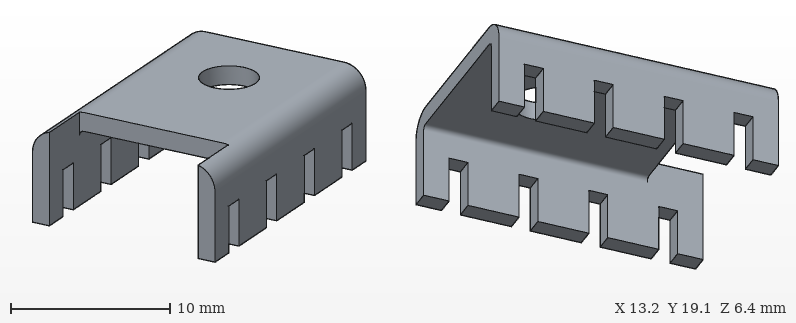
import cadquery as cq

width = 13.2
length = 19.1
height = 6.4

wall_thickness = 1.22
plate_thickness = 1.28
outer_bend_radius = 1.6
inner_bend_radius = 0.32

plate_setback = 3.82
hole_diameter = 3.82
hole_from_back = 5.79

slot_count = 4
slot_width = 1.28
slot_depth = 3.19
slot_pitch = 4.78

inner_width = width - 2 * wall_thickness


def make_channel():
    """Inverted U channel with rounded bends, centred on the origin in X and Y."""
    outer = (
        cq.Workplane("XY")
        .box(width, length, height, centered=(True, True, False))
        .edges("|Y and >Z")
        .fillet(outer_bend_radius)
    )
    inner = (
        cq.Workplane("XY")
        .box(inner_width, length, height - plate_thickness, centered=(True, True, False))
        .edges("|Y and >Z")
        .fillet(inner_bend_radius)
    )
    return outer.cut(inner)


def make_front_notch():
    """Block that removes the plate between the walls at the front end."""
    return (
        cq.Workplane("XY")
        .box(inner_width, plate_setback, height, centered=(True, False, False))
        .translate((0, -length / 2, 0))
    )


def make_hole():
    """Round mounting hole through the plate."""
    return (
        cq.Workplane("XY")
        .center(0, length / 2 - hole_from_back)
        .circle(hole_diameter / 2)
        .extrude(height)
    )


def make_slots():
    """Slots open at the bottom edge, passing through both walls."""
    return (
        cq.Workplane("XY")
        .rarray(0.2, slot_pitch, 1, slot_count)
        .rect(width, slot_width)
        .extrude(slot_depth)
    )


result = make_channel().cut(make_front_notch()).cut(make_hole()).cut(make_slots())